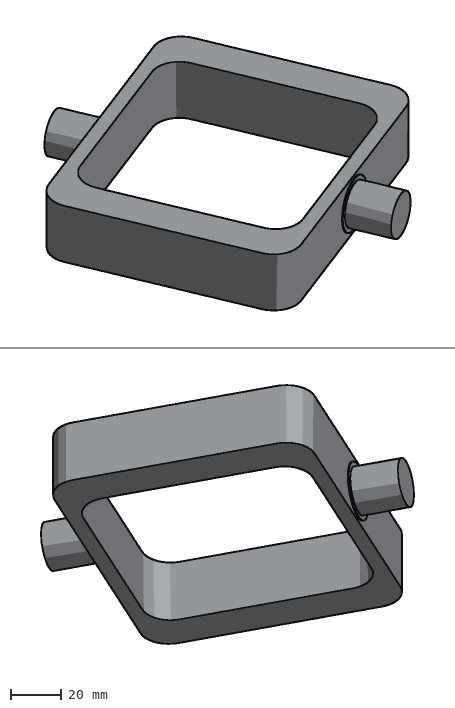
import cadquery as cq

overall_length = 150.0
frame_width = 109.2
frame_depth = 130.0
frame_height = 27.0
window_size = 96.3
corner_radius = 11.8
pin_diameter = 20.0
collar_diameter = 24.0
collar_thickness = 0.5


def rounded_block(width, depth):
    """Block of the frame height, centred on the origin, with rounded vertical edges."""
    return cq.Workplane("XY").box(width, depth, frame_height).edges("|Z").fillet(corner_radius)


def trunnion(side):
    """Pin and its thin collar on the +X (side = 1) or -X (side = -1) wall."""
    wall_middle = (frame_width + window_size) / 4
    base = cq.Workplane("YZ", origin=(side * wall_middle, 0, 0))
    pin_length = overall_length / 2 - wall_middle
    collar_length = frame_width / 2 + collar_thickness - wall_middle
    pin = base.circle(pin_diameter / 2).extrude(side * pin_length)
    collar = base.circle(collar_diameter / 2).extrude(side * collar_length)
    return pin.union(collar)


result = rounded_block(frame_width, frame_depth).cut(rounded_block(window_size, window_size))

for side in (-1, 1):
    result = result.union(trunnion(side))